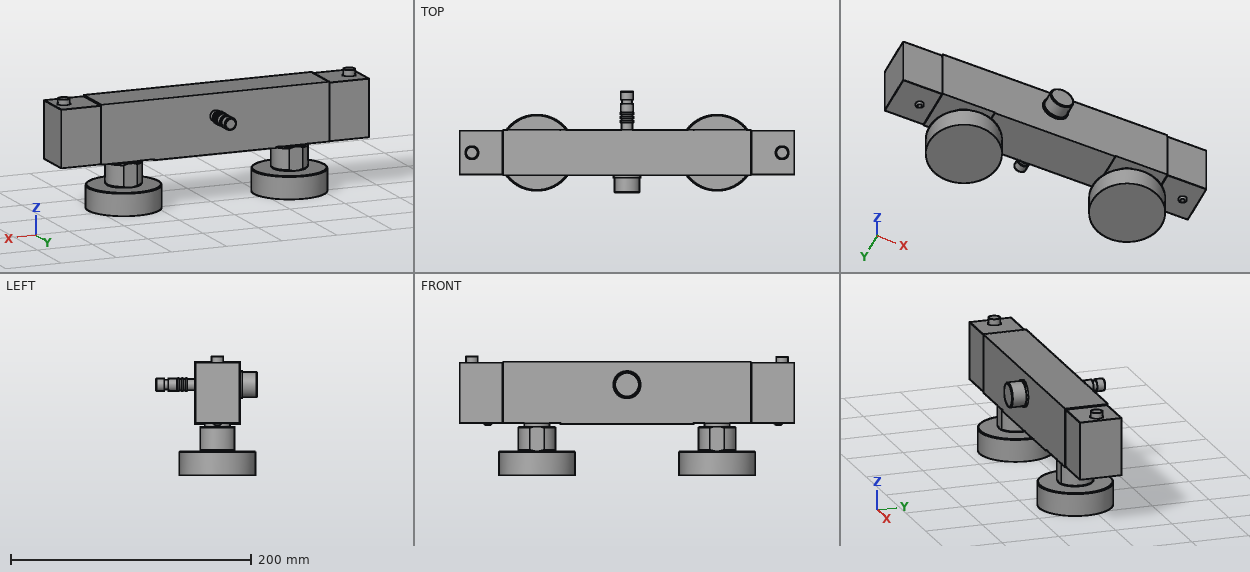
import cadquery as cq


housing_length = 206.5
housing_depth = 38.0
housing_bottom = 43.5
housing_height = 51.3
housing_top = housing_bottom + housing_height
pad_length = 111.0
pad_drop = 0.8

overall_length = 279.0
handle_gap = 0.3
handle_length = (overall_length - housing_length) / 2 - handle_gap
handle_side_inset = 0.5
handle_top_inset = 0.8
handle_depth = housing_depth - 2 * handle_side_inset
handle_top = housing_top - handle_top_inset
handle_edge = 0.3
handle_center_x = (overall_length - handle_length) / 2

button_radius = 5.0
button_x = 129.2
button_edge = 0.3
button_clearance = 0.5
button_recess_depth = 2.8
recess_floor = handle_top - button_recess_depth
left_button_top = 99.3
right_button_top = 98.8

screw_radius = 3.5
screw_tip_radius = 2.0
screw_drop = 1.7
left_screw_x = -115.8
right_screw_x = 126.0

union_x = 75.0
flange_radius = 31.8
flange_height = 20.0
flange_edge = 0.8
nut_radius = 15.5
nut_across_flats = 28.7
nut_face_height = 0.3
nut_top = 40.7
nut_edge = 1.0
spigot_radius = 10.5

diverter_z = 75.5
knob_collar_radius = 11.5
knob_collar_length = 1.7
knob_radius = 10.5
knob_front_y = -33.2
knob_edge = 0.8
stem_radius = 4.7
stem_end_y = 51.3
stem_edge = 0.8
barrel_radius = 5.3
barrel_start_y = 33.8
groove_radius = 4.2
groove_start_y = 40.7
groove_width = 3.3
ring_radius = 5.5
ring_section_radius = 0.8
ring_pitch = 3.3
ring_count = 3
first_ring_y = 26.0


def upright_cylinder(radius, x, bottom, top):
    return cq.Workplane("XY", origin=(x, 0, bottom)).circle(radius).extrude(top - bottom)


def upright_block(x, length, depth, bottom, top):
    return cq.Workplane("XY", origin=(x, 0, (bottom + top) / 2)).box(length, depth, top - bottom)


def diverter_cylinder(radius, start_y, end_y):
    """Cylinder on the diverter axis from start_y back to end_y."""
    return cq.Workplane("XZ", origin=(0, start_y, diverter_z)).circle(radius).extrude(start_y - end_y)


def make_nut(x):
    """Round nut with a flat at front and back, on a low washer face."""
    grip_bottom = flange_height + nut_face_height
    grip = upright_cylinder(nut_radius, x, grip_bottom, nut_top).faces("<Z or >Z").chamfer(nut_edge)
    between_flats = upright_block(x, 2 * nut_radius, nut_across_flats, grip_bottom, nut_top)
    washer_face = upright_cylinder(nut_across_flats / 2, x, flange_height, grip_bottom)
    return grip.intersect(between_flats).union(washer_face)


def make_housing():
    """Square bar with a low pad, spigots and union nuts below, bored for the diverter stem."""
    body = upright_block(0, housing_length, housing_depth, housing_bottom, housing_top)
    pad = upright_block(0, pad_length, housing_depth, housing_bottom - pad_drop, housing_bottom)
    body = body.union(pad)
    for side in (-1, 1):
        spigot = upright_cylinder(spigot_radius, side * union_x, nut_top, housing_bottom)
        body = body.union(spigot).union(make_nut(side * union_x))
    stem_bore = diverter_cylinder(stem_radius, -housing_depth / 2, housing_depth / 2)
    return body.cut(stem_bore)


def make_handle(side, screw_x):
    """Handle block with a recess for its button and the tip of its fixing screw below."""
    block = upright_block(side * handle_center_x, handle_length, handle_depth, housing_bottom, handle_top)
    block = block.edges().chamfer(handle_edge)
    recess_radius = button_radius + button_clearance
    recess = upright_cylinder(recess_radius, side * button_x, recess_floor, handle_top)
    screw_tip = (
        cq.Workplane("XY", origin=(screw_x, 0, housing_bottom))
        .circle(screw_radius)
        .workplane(offset=-screw_drop)
        .circle(screw_tip_radius)
        .loft()
    )
    return block.cut(recess).union(screw_tip)


def make_button(side, top):
    button = upright_cylinder(button_radius, side * button_x, recess_floor, top)
    return button.faces(">Z").chamfer(button_edge)


def make_flange(x):
    return upright_cylinder(flange_radius, x, 0, flange_height).faces(">Z").chamfer(flange_edge)


def make_diverter():
    """Front knob, stem through the housing, ring seals and grooved rear barrel."""
    housing_front_y = -housing_depth / 2
    collar_front_y = housing_front_y - knob_collar_length
    collar = diverter_cylinder(knob_collar_radius, collar_front_y, housing_front_y)
    knob = diverter_cylinder(knob_radius, knob_front_y, collar_front_y).faces("<Y").chamfer(knob_edge)
    stem = diverter_cylinder(stem_radius, housing_front_y, barrel_start_y)
    barrel = diverter_cylinder(barrel_radius, barrel_start_y, stem_end_y).faces(">Y").chamfer(stem_edge)
    groove_end_y = groove_start_y + groove_width
    groove = diverter_cylinder(barrel_radius, groove_start_y, groove_end_y).cut(
        diverter_cylinder(groove_radius, groove_start_y, groove_end_y)
    )
    diverter = collar.union(knob).union(stem).union(barrel.cut(groove))
    stem_axis = cq.Vector(0, 1, 0)
    ring_center_radius = ring_radius - ring_section_radius
    for index in range(ring_count):
        ring_y = first_ring_y + index * ring_pitch
        ring_center = cq.Vector(0, ring_y, diverter_z)
        ring = cq.Solid.makeTorus(ring_center_radius, ring_section_radius, ring_center, stem_axis)
        diverter = diverter.union(cq.Workplane(ring))
    return diverter


housing = make_housing()
handles = [make_handle(-1, left_screw_x), make_handle(1, right_screw_x)]
buttons = [make_button(-1, left_button_top), make_button(1, right_button_top)]
flanges = [make_flange(side * union_x) for side in (-1, 1)]
diverter = make_diverter()

bodies = [housing, *handles, *buttons, *flanges, diverter]
result = cq.Compound.makeCompound([body.solids().val() for body in bodies])